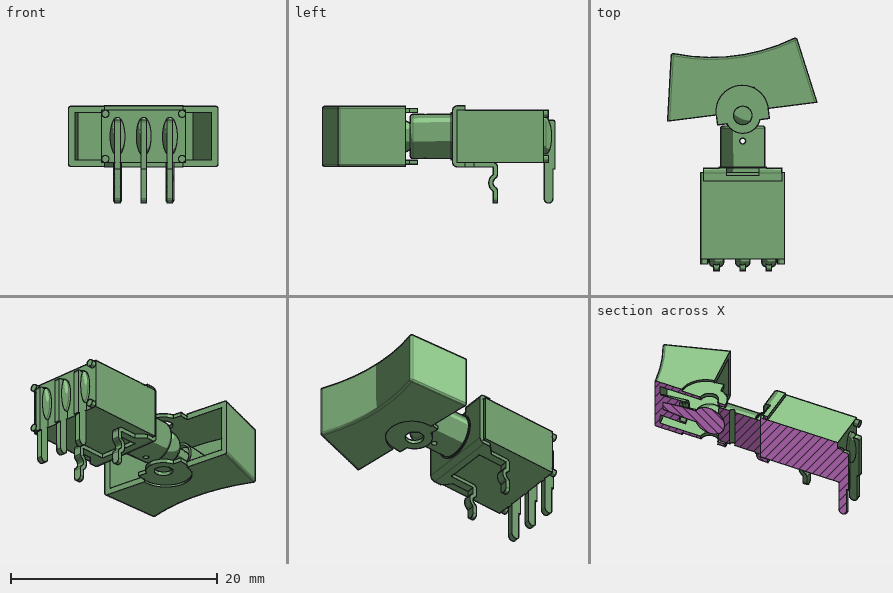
import cadquery as cq
import math


case_width = 8.13
case_length = 8.38
case_height = 5.08
standoff_radius = 0.35
standoff_length = 0.5

terminal_pitch = 2.54
terminal_thickness = 0.54
terminal_top = 1.57
terminal_step = -3.16
board_pin_bottom = -6.47
terminal_front = -1.14
terminal_step_depth = 0.2
terminal_back = -0.08
terminal_top_radius = 0.2
dome_half_width = 0.72
dome_half_height = 1.85
dome_length = 0.85
dome_skirt = 0.25

sheet = 0.43
bracket_width = 7.6
bracket_bend_radius = 0.5
flange_end = 7.57
notch_width = 3.12
notch_length_on_flange = 0.72
leg_pitch = 2 * terminal_pitch
leg_width = 0.8
leg_end_radius = 0.39
leg_front = 4.43
kink_start = -3.7
kink_center = -4.5
kink_inner_radius = 0.53
kink_angle = math.radians(45)

bushing_radius = 2.155
bushing_end = 12.9
bushing_edge_radius = 0.28
collar_radius = 2.3
collar_length = 0.12
cross_hole_radius = 0.27
cross_hole_y = 11.42

pivot_y = 13.9
tilt = 7.2
ball_radius = 1.62
neck_radius = 0.75
neck_end = 5.0

rocker_half_thickness = 2.92
rocker_half_base = 7.305
rocker_half_crest = 6.11
rocker_base_y = 0.36
rocker_crest_y = 6.87
rocker_dish_y = 5.82
rocker_edge_radius = 0.22
rocker_wall = 0.61
ear_outer_z = 2.7
ear_radius = 2.54
ear_center_y = 0.39
ear_tab_bottom = -0.62
ear_tip_radius = 1.73
ear_hole_radius = 0.9
socket_radius = 1.45
socket_bottom = 2.55
socket_bore_radius = 1.22
socket_bore_depth = 0.6

half_case = case_height / 2
bracket_front = case_length + sheet
bracket_half_height = half_case + sheet
cavity_half_thickness = rocker_half_thickness - rocker_wall


def box(x0, x1, y0, y1, z0, z1):
    """Axis-aligned box between the given limits."""
    return cq.Workplane("XY").box(x1 - x0, y1 - y0, z1 - z0, centered=False).translate((x0, y0, z0))


def y_cylinder(radius, y0, y1):
    """Cylinder on the bushing axis."""
    return cq.Workplane("XZ", origin=(0, y1, 0)).circle(radius).extrude(y1 - y0)


def sealing_dome(x):
    """Half-ellipsoid around a terminal, stretched from a unit ball, on a short elliptical skirt."""
    skirt = cq.Workplane("XZ").ellipse(dome_half_width, dome_half_height).extrude(dome_skirt)
    stretch = cq.Matrix([
        [dome_half_width, 0, 0, 0],
        [0, dome_length - dome_skirt, 0, -dome_skirt],
        [0, 0, dome_half_height, 0],
    ])
    half_ball = cq.Workplane("XY").sphere(1).intersect(box(-1, 1, -1, 0, -1, 1))
    cap = cq.Workplane(half_ball.val().transformGeometry(stretch))
    return skirt.union(cap).translate((x, 0, 0))


def terminal(x):
    """Flat terminal: wide upper blade, narrower round-ended pin below it."""
    pin_front = terminal_front + terminal_step_depth
    pin_radius = (terminal_back - pin_front) / 2
    return (
        cq.Workplane("YZ", origin=(x - terminal_thickness / 2, 0, 0))
        .moveTo(0, terminal_top)
        .lineTo(terminal_front + terminal_top_radius, terminal_top)
        .radiusArc((terminal_front, terminal_top - terminal_top_radius), -terminal_top_radius)
        .lineTo(terminal_front, terminal_step)
        .lineTo(pin_front, terminal_step)
        .lineTo(pin_front, board_pin_bottom + pin_radius)
        .threePointArc(
            (pin_front + pin_radius, board_pin_bottom),
            (terminal_back, board_pin_bottom + pin_radius),
        )
        .lineTo(terminal_back, -half_case)
        .lineTo(0, -half_case)
        .close()
        .extrude(terminal_thickness)
    )


def make_case():
    """Box with four round standoffs, three sealing domes and three terminals."""
    body = box(-case_width / 2, case_width / 2, 0, case_length, -half_case, half_case)
    standoffs = (
        cq.Workplane("XZ")
        .rect(case_width - 2 * standoff_radius, case_height - 2 * standoff_radius, forConstruction=True)
        .vertices()
        .circle(standoff_radius)
        .extrude(standoff_length)
    )
    body = body.union(standoffs)
    for index in (-1, 0, 1):
        x = index * terminal_pitch
        body = body.union(sealing_dome(x)).union(terminal(x))
    return body


def bracket_leg(x):
    """Board leg: bent down from the lower flange, with a snap-in kink and a rounded end."""
    leg_back = leg_front + sheet
    sin_kink = math.sin(kink_angle)
    cos_kink = math.cos(kink_angle)
    mirror_start = 2 * kink_center - kink_start
    outer_radius = kink_inner_radius + sheet
    arc_center_y = leg_back - kink_inner_radius

    def kink_point(radius, side):
        """End of a kink arc: above the kink center for side 1, below it for side -1."""
        return (arc_center_y + radius * cos_kink, kink_center + side * radius * sin_kink)

    def bend_point(side):
        """Outer end of the bend between the straight leg and the kink, on the given side."""
        start = kink_start if side > 0 else mirror_start
        return (leg_back - sheet * cos_kink, start - side * sheet * sin_kink)

    profile = (
        cq.Workplane("YZ", origin=(x - leg_width / 2, 0, 0))
        .moveTo(flange_end, -half_case)
        .lineTo(leg_back, -half_case)
        .radiusArc((leg_front, -bracket_half_height), -sheet)
        .lineTo(leg_front, kink_start)
        .radiusArc(bend_point(1), -sheet)
        .lineTo(*kink_point(kink_inner_radius, 1))
        .threePointArc((leg_back, kink_center), kink_point(kink_inner_radius, -1))
        .lineTo(*bend_point(-1))
        .radiusArc((leg_front, mirror_start), -sheet)
        .lineTo(leg_front, board_pin_bottom)
        .lineTo(leg_back, board_pin_bottom)
        .lineTo(leg_back, mirror_start)
        .lineTo(*kink_point(outer_radius, -1))
        .threePointArc((leg_back + sheet, kink_center), kink_point(outer_radius, 1))
        .lineTo(leg_back, kink_start)
        .lineTo(leg_back, -bracket_half_height)
        .lineTo(flange_end, -bracket_half_height)
        .close()
        .extrude(leg_width)
    )
    leg_end = profile.faces("<Z").edges("|Y")
    return leg_end.fillet(leg_end_radius)


def make_bracket(bushing):
    """Bent sheet over the front of the case, notched above the bushing, with two board legs."""
    half_width = bracket_width / 2
    channel = box(
        -half_width, half_width, flange_end, bracket_front, -bracket_half_height, bracket_half_height
    )
    channel = channel.faces(">Y").edges("|X").fillet(bracket_bend_radius)
    channel = channel.cut(box(-half_width, half_width, 0, case_length, -half_case, half_case))

    leg_outside = (leg_pitch + leg_width) / 2
    taper = half_width - leg_outside
    for side in (-1, 1):
        gusset = (
            cq.Workplane("XY", origin=(0, 0, -bracket_half_height))
            .moveTo(side * leg_outside, flange_end)
            .lineTo(side * half_width, flange_end)
            .lineTo(side * leg_outside, flange_end - taper)
            .close()
            .extrude(sheet)
        )
        channel = channel.union(gusset).union(bracket_leg(side * leg_pitch / 2))

    notch_bottom = math.sqrt(bushing_radius**2 - (notch_width / 2) ** 2)
    notch = box(-notch_width / 2, notch_width / 2, bracket_front - notch_length_on_flange,
                bracket_front, notch_bottom, bracket_half_height)
    return channel.cut(notch).cut(bushing)


def make_bushing(lever):
    """Barrel with a thin collar, a cross hole and a seat for the ball of the lever."""
    barrel = y_cylinder(bushing_radius, case_length, bushing_end)
    barrel = barrel.faces(">Y").edges().fillet(bushing_edge_radius)
    collar = y_cylinder(collar_radius, bracket_front, bracket_front + collar_length)
    cross_hole = (
        cq.Workplane("XY", origin=(0, cross_hole_y, -collar_radius))
        .circle(cross_hole_radius)
        .extrude(2 * collar_radius)
    )
    return barrel.union(collar).cut(cross_hole).cut(lever)


def place_on_pivot(part):
    """Tilt a part modelled about the pivot and move it to the end of the bushing."""
    return part.rotate((0, 0, 0), (0, 0, 1), tilt).translate((0, pivot_y, 0))


def make_lever():
    """Ball on the pivot with a neck reaching into the rocker."""
    ball = cq.Workplane("XZ").sphere(ball_radius)
    return place_on_pivot(ball.union(y_cylinder(neck_radius, 0, neck_end)))


def rocker_prism(inset, half_thickness):
    """Dished trapezoid of the rocker, its ends and dish moved inward by the inset."""
    flank = math.atan2(rocker_half_base - rocker_half_crest, rocker_crest_y - rocker_base_y)
    end_shift = inset / math.cos(flank)
    half_base = rocker_half_base - end_shift
    crest_y = rocker_crest_y - inset
    half_crest = rocker_half_crest - end_shift + inset * math.tan(flank)
    return (
        cq.Workplane("XY", origin=(0, 0, -half_thickness))
        .moveTo(-half_base, rocker_base_y)
        .lineTo(half_base, rocker_base_y)
        .lineTo(half_crest, crest_y)
        .threePointArc((0, rocker_dish_y - inset), (-half_crest, crest_y))
        .close()
        .extrude(2 * half_thickness)
    )


def rocker_ear():
    """Ear on the upper side: half disc, square-cornered tab and round tip."""
    ear_thickness = ear_outer_z - cavity_half_thickness
    plane = cq.Workplane("XY", origin=(0, 0, cavity_half_thickness))
    disc = plane.center(0, ear_center_y).circle(ear_radius).extrude(ear_thickness)
    disc = disc.intersect(box(-ear_radius, ear_radius, ear_center_y, ear_center_y + ear_radius,
                              0, rocker_half_thickness))
    tab = box(-ear_radius, ear_radius, ear_tab_bottom, ear_center_y, cavity_half_thickness, ear_outer_z)
    tip = plane.circle(ear_tip_radius).extrude(ear_thickness)
    return disc.union(tab).union(tip)


def make_rocker(lever):
    """Hollow dished cap with two recessed ears and a bored socket around the lever neck."""
    shell = rocker_prism(0, rocker_half_thickness)
    shell = shell.edges("not(<Y)").fillet(rocker_edge_radius)
    shell = shell.cut(rocker_prism(rocker_wall, cavity_half_thickness))

    recess = (
        cq.Workplane("XY", origin=(0, ear_center_y, ear_outer_z))
        .circle(ear_radius)
        .extrude(rocker_half_thickness - ear_outer_z)
    )
    ear = rocker_ear()
    for upper in (True, False):
        shell = shell.cut(recess if upper else recess.mirror("XY"))
        shell = shell.union(ear if upper else ear.mirror("XY"))

    ball_hole = (
        cq.Workplane("XY", origin=(0, 0, -rocker_half_thickness))
        .circle(ear_hole_radius)
        .extrude(2 * rocker_half_thickness)
    )
    socket = y_cylinder(socket_radius, socket_bottom, rocker_dish_y - rocker_wall / 2)
    socket = socket.cut(y_cylinder(socket_bore_radius, socket_bottom, socket_bottom + socket_bore_depth))
    rocker = shell.cut(ball_hole).union(socket)
    return place_on_pivot(rocker).cut(lever)


lever = make_lever()
bushing = make_bushing(lever)
bracket = make_bracket(bushing)
case = make_case()
rocker = make_rocker(lever)

result = cq.Compound.makeCompound([
    case.val(),
    bracket.val(),
    bushing.val(),
    lever.val(),
    rocker.val(),
])